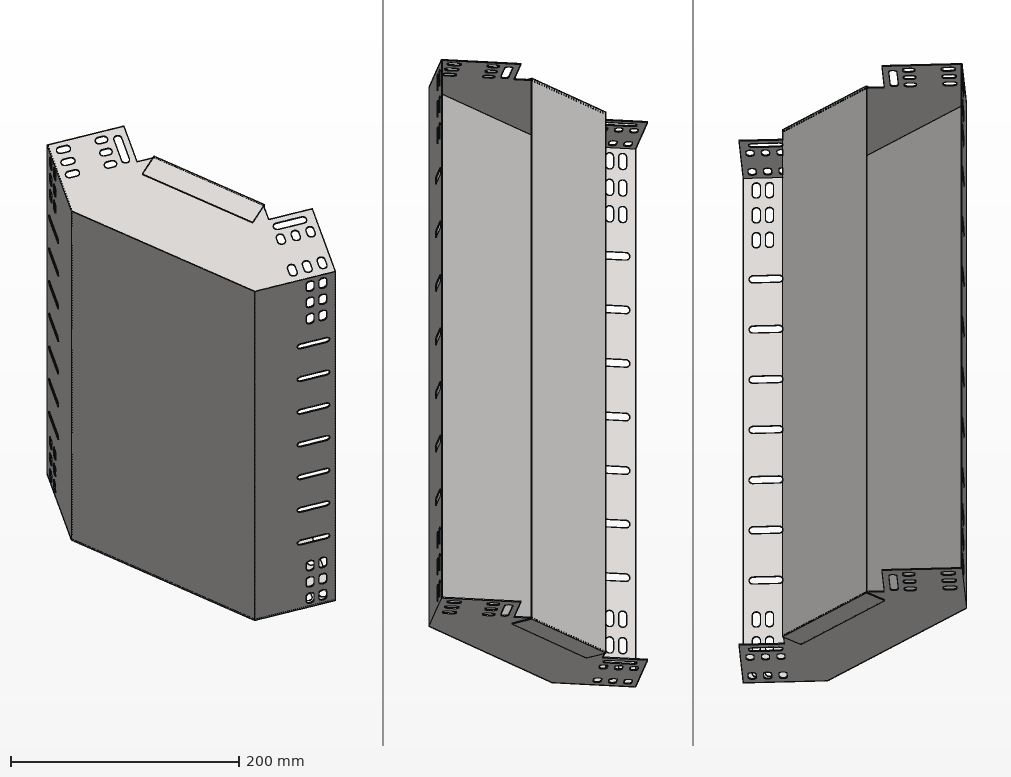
import cadquery as cq
import math

overall_height = 503.0
sheet = 1.0

front_half_width = 91.0
wing_reach = 52.5
tray_depth = 102.0
notch_depth = 28.0
back_y = 84.5

flange_depth = 20.5

slot_width = 7.0
plate_slot_count = 3
plate_slot_pitch = 13.5
plate_slot_first = 8.5
outer_row_inward = 12.5
outer_row_slot_length = 12.5
inner_row_inward = 47.5
inner_row_slot_length = 11.0
ear_slot_length = 30.0
ear_slot_along = 23.0
ear_slot_inward = 61.5
end_slot_length = 15.0
end_slot_columns = (11.5, 23.0)
end_slot_count = 3
end_slot_pitch = 24.5
end_slot_margin = 14.0
side_slot_length = 29.5
side_slot_along = 20.0
side_slot_pitch = 50.0
side_slot_count = 7

tray_height = overall_height - 2 * sheet
half_width = front_half_width + wing_reach
ear_tip_x = half_width - (tray_depth - wing_reach)
notch_x = ear_tip_x - notch_depth
notch_y = tray_depth - notch_depth
back_half_width = notch_x - (back_y - notch_y)
wing_angle = 45
wall_offset = sheet * math.tan(math.radians(wing_angle / 2))
edge_step = sheet * math.sin(math.radians(wing_angle))


def mirrored_outline(right_points):
    """Closed outline from the points of its right half."""
    left_points = [(-x, y) for x, y in reversed(right_points)]
    return cq.Workplane("XY").polyline(right_points + left_points).close()


def end_plate():
    right_points = [
        (front_half_width, 0),
        (half_width, wing_reach),
        (ear_tip_x, tray_depth),
        (notch_x, notch_y),
        (back_half_width, back_y),
    ]
    return mirrored_outline(right_points).extrude(sheet)


def bent_wall():
    """Front wall and both wings as one bent sheet of full tray height."""
    outer = [(front_half_width, 0), (half_width, wing_reach)]
    inner = [
        (half_width - edge_step, wing_reach + edge_step),
        (front_half_width - wall_offset, sheet),
    ]
    return mirrored_outline(outer + inner).extrude(tray_height)


def at_wing_corner(cutter):
    """Move a cutter from wing axes (X along, Y inward) to the left wing corner."""
    return cutter.rotate((0, 0, 0), (0, 0, 1), -wing_angle).translate((-half_width, wing_reach, 0))


def plate_slots():
    """Cutter through both end plates at the left wing."""
    def row(inward):
        return [
            (plate_slot_first + i * plate_slot_pitch, inward)
            for i in range(plate_slot_count)
        ]

    cutter = (
        cq.Workplane("XY")
        .pushPoints(row(outer_row_inward)).slot2D(outer_row_slot_length, slot_width, 90)
        .pushPoints(row(inner_row_inward)).slot2D(inner_row_slot_length, slot_width, 90)
        .pushPoints([(ear_slot_along, ear_slot_inward)]).slot2D(ear_slot_length, slot_width)
        .extrude(overall_height / 2, both=True)
    )
    return at_wing_corner(cutter)


def wing_slots():
    """Cutter through the left wing."""
    end_places = [
        (along, end * (overall_height / 2 - end_slot_margin - i * end_slot_pitch))
        for along in end_slot_columns
        for end in (-1, 1)
        for i in range(end_slot_count)
    ]
    side_places = [
        (side_slot_along, (i - (side_slot_count - 1) / 2) * side_slot_pitch)
        for i in range(side_slot_count)
    ]
    cutter = (
        cq.Workplane("XZ").pushPoints(end_places).slot2D(end_slot_length, slot_width, 90)
        .pushPoints(side_places).slot2D(side_slot_length, slot_width)
        .extrude(2 * sheet, both=True)
    )
    return at_wing_corner(cutter)


def make_tray():
    tray = bent_wall().translate((0, 0, -tray_height / 2))
    for z in (-tray_height / 2, tray_height / 2 - sheet):
        tray = tray.union(end_plate().translate((0, 0, z)))
    for cutter in (plate_slots(), wing_slots()):
        tray = tray.cut(cutter).cut(cutter.mirror("YZ"))
    return tray


def make_cover():
    """Back wall between the notches, bent forward over both end plates."""
    half_outer = overall_height / 2
    half_inner = tray_height / 2
    front_y = back_y - flange_depth
    profile = [
        (front_y, half_outer),
        (back_y + sheet, half_outer),
        (back_y + sheet, -half_outer),
        (front_y, -half_outer),
        (front_y, -half_inner),
        (back_y, -half_inner),
        (back_y, half_inner),
        (front_y, half_inner),
    ]
    return cq.Workplane("YZ").polyline(profile).close().extrude(back_half_width, both=True)


tray = make_tray()
cover = make_cover()
result = cq.Compound.makeCompound([tray.val(), cover.val()])